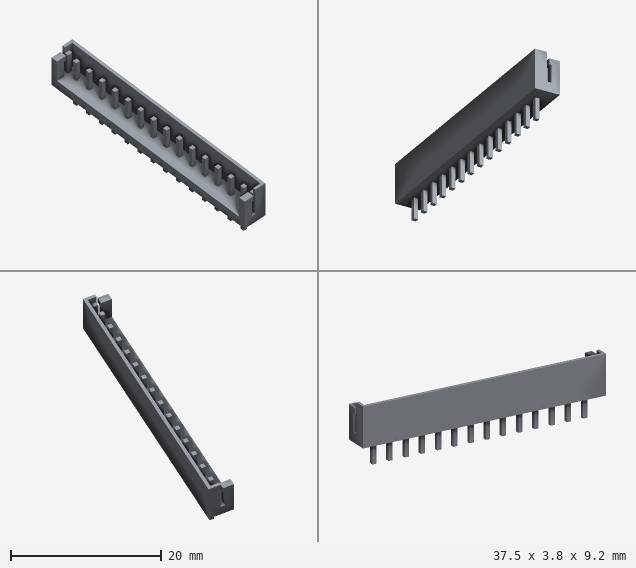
import cadquery as cq

housing_length = 37.5
housing_depth = 3.8
housing_height = 6.0
floor_thickness = 1.5
back_wall_thickness = 0.5
end_wall_thickness = 0.45
end_wall_depth = 1.8

post_width = 1.05
post_height = 5.1
post_gap = 0.38
post_lip_reach = 0.3
post_lip_height = 0.9

rib_depth = 0.8
rib_height = 4.95

pin_count = 14
pin_row_length = 32.5
pin_pitch = pin_row_length / (pin_count - 1)
pin_size = 0.65
pin_face_to_back = 1.28
pin_top = 4.8
pin_tail = 3.2

half_length = housing_length / 2
back_y = housing_depth / 2
front_y = -back_y
wall_edge_y = back_y - end_wall_depth


def box_between(x_range, y_range, z_range):
    """Axis-aligned box given by its start and end along each axis."""
    starts, ends = zip(x_range, y_range, z_range)
    sizes = [end - start for start, end in zip(starts, ends)]
    return cq.Workplane("XY").box(*sizes, centered=False).translate(starts)


def make_floor_and_back():
    """L-shaped profile of floor and back wall, swept along the length."""
    return (
        cq.Workplane("YZ", origin=(-half_length, 0, 0))
        .moveTo(front_y, 0)
        .lineTo(back_y, 0)
        .lineTo(back_y, housing_height)
        .lineTo(back_y - back_wall_thickness, housing_height)
        .lineTo(back_y - back_wall_thickness, floor_thickness)
        .lineTo(front_y, floor_thickness)
        .close()
        .extrude(housing_length)
    )


def make_end_wall():
    """Left end wall with the guide rib along its free edge."""
    wall = box_between(
        (-half_length, -half_length + end_wall_thickness),
        (wall_edge_y, back_y),
        (0, housing_height),
    )
    rib = box_between(
        (-half_length, -half_length + post_width),
        (wall_edge_y, wall_edge_y + rib_depth),
        (0, rib_height),
    )
    return wall.union(rib)


def make_corner_post():
    """Left front post whose top lip overhangs the slot behind it."""
    lip_y = wall_edge_y - post_gap
    post_back_y = lip_y - post_lip_reach
    lip_bottom = post_height - post_lip_height
    return (
        cq.Workplane("YZ", origin=(-half_length, 0, 0))
        .moveTo(front_y, 0)
        .lineTo(post_back_y, 0)
        .lineTo(post_back_y, lip_bottom)
        .lineTo(lip_y, lip_bottom)
        .lineTo(lip_y, post_height)
        .lineTo(front_y, post_height)
        .close()
        .extrude(post_width)
    )


def make_pins():
    """Evenly pitched row of pins passing down through the floor."""
    return (
        cq.Workplane("XY", origin=(0, back_y - pin_face_to_back - pin_size / 2, -pin_tail))
        .rarray(pin_pitch, 0.38, pin_count, 1)
        .rect(pin_size, pin_size)
        .extrude(pin_tail + pin_top)
    )


left_end = make_end_wall().union(make_corner_post())
right_end = left_end.mirror("YZ")

result = make_floor_and_back().union(left_end).union(right_end).union(make_pins())